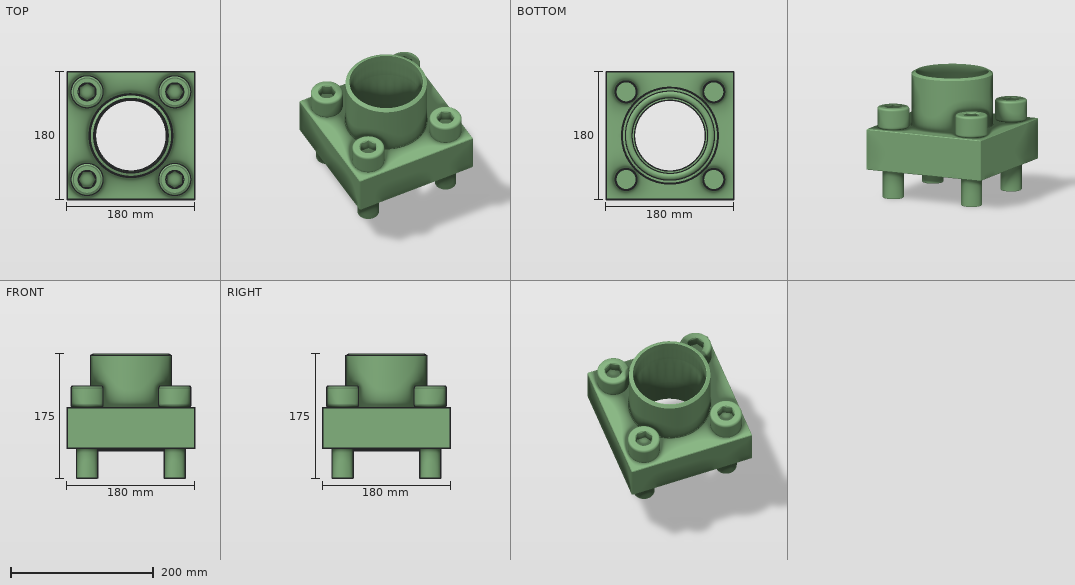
import cadquery as cq
import math

plate_side = 180.0
plate_height = 58.0
plate_edge_chamfer = 0.9

neck_bore_diameter = 115.5
neck_bore_mouth_diameter = 117.7
collar_bore_diameter = 136.0

pipe_diameter = 114.3
pipe_rise = 75.0
neck_diameter = 115.0
pipe_bevel_diameter = 105.0
pipe_bevel_angle = 30.0
pipe_bore_diameter = 103.1
pipe_bore_depth = 37.8
taper_length = 55.8
collar_diameter = 135.0
collar_inner_diameter = 99.0
collar_seat_height = 18.0
collar_protrusion = 2.0
collar_chamfer = 0.7

ring_centre_diameter = 115.5
ring_section = 9.5
ring_protrusion = 1.6

screw_count = 4
screw_spacing = 123.0
shank_diameter = 30.0
shank_hole_diameter = 31.0
shank_protrusion = 42.0
shank_tip_chamfer = 0.9
head_diameter = 45.0
head_height = 30.0
head_fillet = 3.0
socket_corner_diameter = 25.4
socket_sides = 6
socket_depth = 15.3
socket_countersink_angle = 45.0

collar_bottom = -collar_protrusion
pipe_top = plate_height + pipe_rise
half_spacing = screw_spacing / 2


def disc(diameter, bottom, top):
    """Solid cylinder on the Z axis between two heights."""
    return cq.Workplane("XY").workplane(offset=bottom).circle(diameter / 2).extrude(top - bottom)


def make_flange():
    """Plate with the stepped bore for the pipe and the clearance holes of the screws."""
    plate = (
        cq.Workplane("XY")
        .box(plate_side, plate_side, plate_height, centered=(True, True, False))
        .edges()
        .chamfer(plate_edge_chamfer)
    )
    neck_bore = disc(neck_bore_diameter, 0, plate_height)
    collar_bore_cut = disc(collar_bore_diameter, 0, collar_seat_height)
    mouth_chamfer = (neck_bore_mouth_diameter - neck_bore_diameter) / 2
    screw_holes = (
        cq.Workplane("XY")
        .rect(screw_spacing, screw_spacing, forConstruction=True)
        .vertices()
        .circle(shank_hole_diameter / 2)
        .extrude(plate_height)
    )
    plate = plate.cut(neck_bore)
    plate = plate.faces(">Z").edges("%CIRCLE").chamfer(mouth_chamfer)
    return plate.cut(collar_bore_cut).cut(screw_holes)


def make_pipe():
    """Pipe stub and collar turned as one profile, with the ring groove in the end face."""
    bevel_width = (pipe_diameter - pipe_bevel_diameter) / 2
    bevel_height = bevel_width * math.tan(math.radians(pipe_bevel_angle))
    taper_top = pipe_top - pipe_bore_depth
    half_profile = [
        (collar_inner_diameter / 2, collar_bottom),
        (collar_diameter / 2 - collar_chamfer, collar_bottom),
        (collar_diameter / 2, collar_bottom + collar_chamfer),
        (collar_diameter / 2, collar_seat_height),
        (neck_diameter / 2, collar_seat_height),
        (neck_diameter / 2, plate_height),
        (pipe_diameter / 2, plate_height),
        (pipe_diameter / 2, pipe_top - bevel_height),
        (pipe_bevel_diameter / 2, pipe_top),
        (pipe_bore_diameter / 2, pipe_top),
        (pipe_bore_diameter / 2, taper_top),
        (collar_inner_diameter / 2, taper_top - taper_length),
    ]
    pipe = cq.Workplane("XZ").polyline(half_profile).close().revolve(360, (0, 0), (0, 1))

    groove_top = collar_bottom - ring_protrusion + ring_section
    groove = disc(ring_centre_diameter + ring_section, collar_bottom, groove_top).cut(
        disc(ring_centre_diameter - ring_section, collar_bottom, groove_top)
    )
    return pipe.cut(groove)


def make_sealing_ring():
    """Round-section ring that touches the roof and both walls of its groove."""
    centre_height = collar_bottom - ring_protrusion + ring_section / 2
    return (
        cq.Workplane("XZ")
        .center(ring_centre_diameter / 2, centre_height)
        .circle(ring_section / 2)
        .revolve(360, (-ring_centre_diameter / 2, 0), (-ring_centre_diameter / 2, 1))
    )


def make_socket(head_top):
    """Hexagonal recess with a conical countersink as wide as its corners."""
    hexagon = (
        cq.Workplane("XY")
        .workplane(offset=head_top)
        .polygon(socket_sides, socket_corner_diameter)
        .extrude(-socket_depth)
    )
    cone_radius = socket_corner_diameter / 2
    cone_depth = cone_radius * math.tan(math.radians(socket_countersink_angle))
    countersink = (
        cq.Workplane("XZ")
        .polyline([(0, head_top), (cone_radius, head_top), (0, head_top - cone_depth)])
        .close()
        .revolve(360, (0, 0), (0, 1))
    )
    return hexagon.union(countersink)


def make_screw():
    """Screw on the Z axis, its head resting on the plate."""
    head_top = plate_height + head_height
    head = disc(head_diameter, plate_height, head_top).edges().fillet(head_fillet)
    shank = disc(shank_diameter, -shank_protrusion, plate_height)
    shank = shank.faces("<Z").chamfer(shank_tip_chamfer)
    return head.union(shank).cut(make_socket(head_top))


flange = make_flange()
pipe = make_pipe()
sealing_ring = make_sealing_ring()

first_screw = make_screw().translate((half_spacing, half_spacing, 0))
screws = []
for index in range(screw_count):
    screw = first_screw.rotate((0, 0, 0), (0, 0, 1), index * 360 / screw_count)
    screws.append(screw.val())

result = cq.Compound.makeCompound([flange.val(), pipe.val(), sealing_ring.val(), *screws])